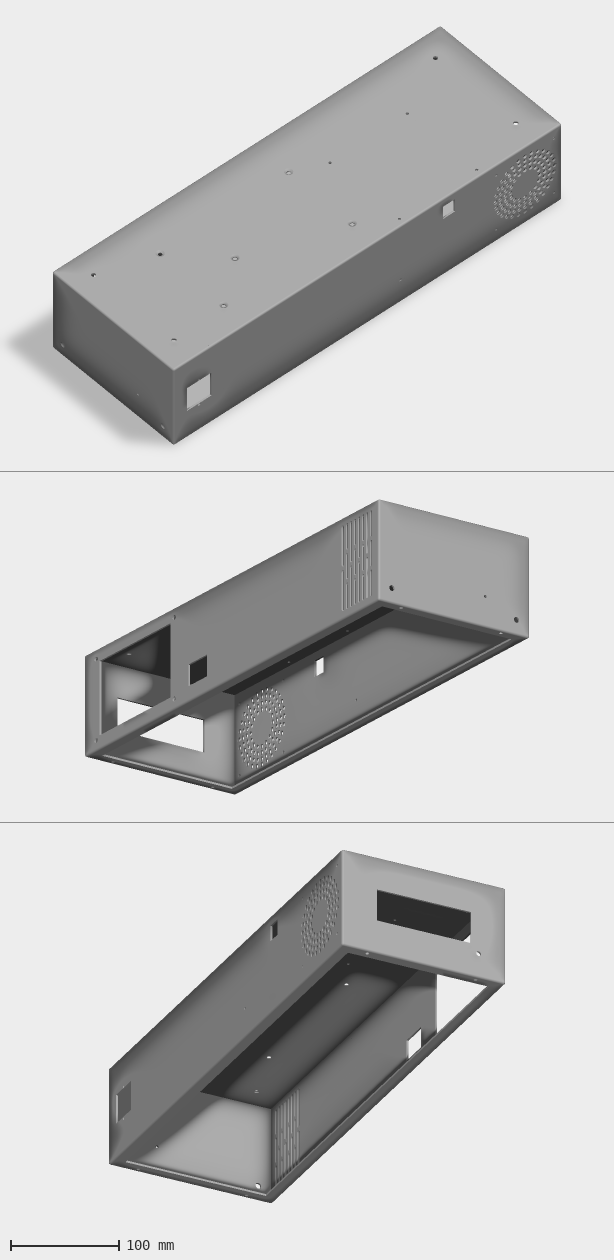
import math

import cadquery as cq

WIDTH = 170.0
LENGTH = 480.0
HEIGHT = 101.0
SHEET = 2.0
BEND_RADIUS = SHEET
FLANGE_WIDTH = 12.0

SMALL_HOLE = 3.0
SCREW_HOLE = 5.0

WINDOW_LENGTH = 115.5
WINDOW_HEIGHT = 74.0
WINDOW_Y = 157.0
WINDOW_SCREW_PITCH_Y = 127.0
WINDOW_SCREW_PITCH_Z = 81.0
CUTOUT_LENGTH = 30.0
CUTOUT_HEIGHT = 21.5
CUTOUT_Y = 55.0
CUTOUT_Z = -24.5
VENT_Y = -204.5
VENT_HEIGHT = 85.5
VENT_COLUMNS = 8
VENT_SPAN = 46.0
VENT_PITCH = VENT_SPAN / (VENT_COLUMNS - 1)
VENT_SLOT_WIDTH = 3.5
VENT_SLOT_GAP = 3.5

FAN_Y = 194.5
FAN_Z = 1.5
FAN_SCREW_PITCH = 71.5
GRILLE_HOLE = 5.0
GRILLE_RINGS = [(18.0, 16), (24.5, 24), (30.5, 28), (36.5, 28)]
NOTCH_LENGTH = 15.0
NOTCH_HEIGHT = 16.5
NOTCH_Y = 100.5
NOTCH_Z = 32.0
SOCKET_SIZE = 30.0
SOCKET_Y = -208.5
SOCKET_SCREW_PITCH = 33.5
RIGHT_HOLE_Y = 40.5
RIGHT_HOLE_Z = -21.0

CORNER_HOLE_PITCH_X = 112.5
CORNER_HOLE_PITCH_Y = 422.5
CORNER_HOLE_Y = -3.0
BOARD_HOLE_PITCH_X = 97.0
BOARD_HOLE_PITCH_Y = 95.5
BOARD_X = 29.0
BOARD_Y = 93.5
SINK_PITCH_X = 89.0
SINK_PITCH_Y = 159.0
SINK_X = 8.0
SINK_Y = -70.0
SINGLE_SINK = (14.0, -101.5)
SINK_DIAMETER = 8.5
SINK_HOLE = 4.2
SINK_ANGLE = 120.0

FRONT_HOLE = 6.0
FRONT_HOLE_PITCH = 140.0
FRONT_HOLE_Z = -35.5
FRONT_PILOT = (35.0, -20.0)

REAR_OPENING_WIDTH = 98.0
REAR_OPENING_HEIGHT = 32.5
REAR_HOLE = (-56.5, -25.5)

FLANGE_HOLE = 3.5
FLANGE_HOLE_INSET = 5.5

CUT_DEPTH = 5.0


def grid(center, pitch):
    """Four corner points of a rectangle given by its center and side lengths."""
    return [
        (center[0] + i * pitch[0] / 2, center[1] + j * pitch[1] / 2)
        for i in (-1, 1)
        for j in (-1, 1)
    ]


def across_x(side):
    """Sketch plane in the left (-1) or right (+1) wall; local axes are Y and Z."""
    return cq.Workplane("YZ", origin=(side * (WIDTH - SHEET) / 2, 0, 0))


def across_y(side):
    """Sketch plane in the front (-1) or rear (+1) wall; local axes are X and Z."""
    plane = cq.Plane(origin=(0, side * (LENGTH - SHEET) / 2, 0), xDir=(1, 0, 0), normal=(0, -1, 0))
    return cq.Workplane(plane)


def across_z(side):
    """Sketch plane in the bottom (-1) or top (+1) sheet; local axes are X and Y."""
    return cq.Workplane("XY", origin=(0, 0, side * (HEIGHT - SHEET) / 2))


def holes(plane, points, diameter):
    return plane.pushPoints(points).circle(diameter / 2).extrude(CUT_DEPTH / 2, both=True)


def rectangle(plane, center, length, height):
    return plane.center(*center).rect(length, height).extrude(CUT_DEPTH / 2, both=True)


def make_shell():
    outer = cq.Workplane("XY").box(WIDTH, LENGTH, HEIGHT).edges().fillet(BEND_RADIUS)
    inner = cq.Workplane("XY").box(WIDTH - 2 * SHEET, LENGTH - 2 * SHEET, HEIGHT - 2 * SHEET)
    bottom_opening = rectangle(across_z(-1), (0, 0), WIDTH - 2 * FLANGE_WIDTH, LENGTH - 2 * FLANGE_WIDTH)
    return outer.cut(inner).cut(bottom_opening)


def vent_cutter():
    """Columns of upright slots: two long slots alternate with three short ones."""
    cutter = cq.Workplane("XY")
    for column in range(VENT_COLUMNS):
        y = VENT_Y + VENT_PITCH * ((VENT_COLUMNS - 1) / 2 - column)
        slots = 2 + column % 2
        slot_length = (VENT_HEIGHT - (slots - 1) * VENT_SLOT_GAP) / slots
        pitch = slot_length + VENT_SLOT_GAP
        points = [(y, pitch * (i - (slots - 1) / 2)) for i in range(slots)]
        column_slots = across_x(-1).pushPoints(points).slot2D(slot_length, VENT_SLOT_WIDTH, 90)
        cutter = cutter.add(column_slots.extrude(CUT_DEPTH / 2, both=True))
    return cutter.combine()


def cut_left_wall(body):
    window = (WINDOW_Y, 0)
    screws = grid(window, (WINDOW_SCREW_PITCH_Y, WINDOW_SCREW_PITCH_Z))
    body = body.cut(rectangle(across_x(-1), window, WINDOW_LENGTH, WINDOW_HEIGHT))
    body = body.cut(holes(across_x(-1), screws, SCREW_HOLE))
    body = body.cut(rectangle(across_x(-1), (CUTOUT_Y, CUTOUT_Z), CUTOUT_LENGTH, CUTOUT_HEIGHT))
    return body.cut(vent_cutter())


def grille_points():
    return [
        (
            FAN_Y + radius * math.cos(2 * math.pi * i / count),
            FAN_Z + radius * math.sin(2 * math.pi * i / count),
        )
        for radius, count in GRILLE_RINGS
        for i in range(count)
    ]


def cut_right_wall(body):
    fan_screws = grid((FAN_Y, FAN_Z), (FAN_SCREW_PITCH, FAN_SCREW_PITCH))
    socket_screws = [(SOCKET_Y, side * SOCKET_SCREW_PITCH / 2) for side in (-1, 1)]
    small_holes = fan_screws + socket_screws + [(RIGHT_HOLE_Y, RIGHT_HOLE_Z)]
    body = body.cut(holes(across_x(1), grille_points(), GRILLE_HOLE))
    body = body.cut(holes(across_x(1), small_holes, SMALL_HOLE))
    body = body.cut(rectangle(across_x(1), (NOTCH_Y, NOTCH_Z), NOTCH_LENGTH, NOTCH_HEIGHT))
    return body.cut(rectangle(across_x(1), (SOCKET_Y, 0), SOCKET_SIZE, SOCKET_SIZE))


def cut_top_wall(body):
    corner_holes = grid((0, CORNER_HOLE_Y), (CORNER_HOLE_PITCH_X, CORNER_HOLE_PITCH_Y))
    board_holes = grid((BOARD_X, BOARD_Y), (BOARD_HOLE_PITCH_X, BOARD_HOLE_PITCH_Y))
    sinks = grid((SINK_X, SINK_Y), (SINK_PITCH_X, SINK_PITCH_Y)) + [SINGLE_SINK]
    body = body.cut(holes(across_z(1), corner_holes, SCREW_HOLE))
    body = body.cut(holes(across_z(1), board_holes, SMALL_HOLE))
    top = cq.Workplane("XY", origin=(0, 0, HEIGHT / 2)).newObject([body.val()])
    return top.pushPoints(sinks).cskHole(SINK_HOLE, SINK_DIAMETER, SINK_ANGLE, CUT_DEPTH)


def cut_front_wall(body):
    points = [(side * FRONT_HOLE_PITCH / 2, FRONT_HOLE_Z) for side in (-1, 1)]
    body = body.cut(holes(across_y(-1), points, FRONT_HOLE))
    return body.cut(holes(across_y(-1), [FRONT_PILOT], SMALL_HOLE))


def cut_rear_wall(body):
    body = body.cut(rectangle(across_y(1), (0, 0), REAR_OPENING_WIDTH, REAR_OPENING_HEIGHT))
    return body.cut(holes(across_y(1), [REAR_HOLE], SCREW_HOLE))


def cut_flange(body):
    points = grid((0, 0), (CORNER_HOLE_PITCH_X, LENGTH - 2 * FLANGE_HOLE_INSET))
    return body.cut(holes(across_z(-1), points, FLANGE_HOLE))


result = make_shell()
result = cut_left_wall(result)
result = cut_right_wall(result)
result = cut_top_wall(result)
result = cut_front_wall(result)
result = cut_rear_wall(result)
result = cut_flange(result)